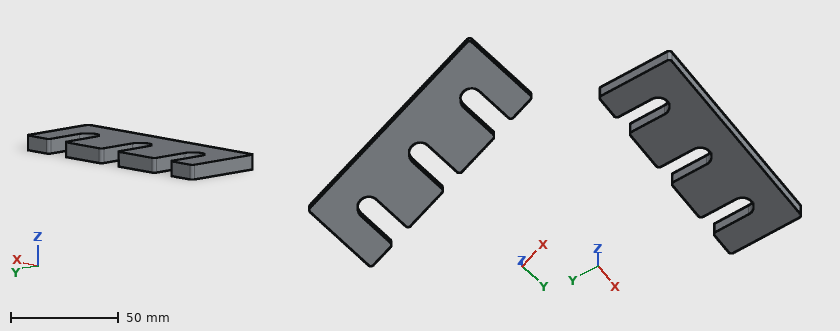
import cadquery as cq

length = 110.0
width = 40.0
thickness = 7.0
corner_radius = 1.5

slot_count = 3
slot_pitch = 35.0
slot_width = 10.5
slot_center_depth = 20.0


def make_plate():
    return cq.Workplane("XY").box(length, width, thickness)


def make_slot(center_x):
    """Cutter for one slot: straight sides, open at +Y, with a full-round inner end."""
    edge_y = width / 2
    end_center_y = edge_y - slot_center_depth
    slot_radius = slot_width / 2
    return (
        cq.Workplane("XY")
        .moveTo(center_x - slot_radius, edge_y)
        .lineTo(center_x - slot_radius, end_center_y)
        .threePointArc(
            (center_x, end_center_y - slot_radius),
            (center_x + slot_radius, end_center_y),
        )
        .lineTo(center_x + slot_radius, edge_y)
        .close()
        .extrude(thickness / 2, both=True)
    )


def round_outer_corners(body):
    """Round the plate corners and the slot mouths, which all lie on the two long edges."""
    return (
        body.faces("<Y or >Y")
        .edges("|Z")
        .fillet(corner_radius)
    )


body = make_plate()
for index in range(slot_count):
    body = body.cut(make_slot((index - (slot_count - 1) / 2) * slot_pitch))

result = round_outer_corners(body)